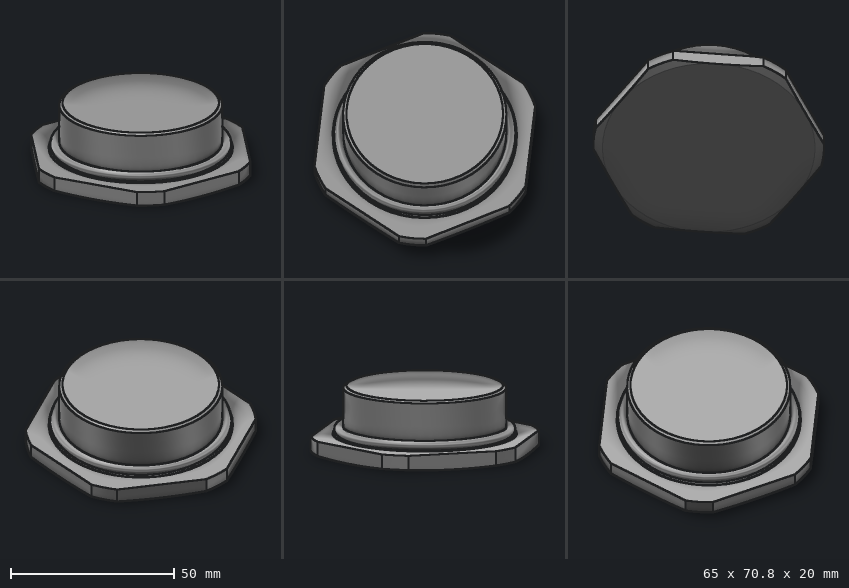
import cadquery as cq
import math

flange_diameter = 70.75
across_flats = 65.0
flange_thickness = 5.0
corner_chamfer_height = 0.5
corner_chamfer_angle = 10.0

total_height = 20.0
boss_diameter = 50.0
boss_top_diameter = 48.0
boss_chamfer_height = 0.65

seat_diameter = 56.45
seat_floor_diameter = 56.0
seat_depth = 0.1

ring_section_diameter = 3.0
ring_outer_diameter = 55.55


def make_flange():
    """Hexagon with two flats facing +X and -X, its corners rounded and chamfered underneath."""
    hexagon = (
        cq.Workplane("XY")
        .transformed(rotate=(0, 0, 30))
        .polygon(6, across_flats / math.cos(math.radians(30)))
        .extrude(flange_thickness)
    )
    outer_radius = flange_diameter / 2
    chamfer_width = corner_chamfer_height / math.tan(math.radians(corner_chamfer_angle))
    turned_blank = (
        cq.Workplane("XZ")
        .moveTo(0, 0)
        .lineTo(outer_radius - chamfer_width, 0)
        .lineTo(outer_radius, corner_chamfer_height)
        .lineTo(outer_radius, flange_thickness)
        .lineTo(0, flange_thickness)
        .close()
        .revolve(360, (0, 0, 0), (0, 1, 0))
    )
    return hexagon.intersect(turned_blank)


def make_seat():
    """Cutter for the shallow recess under the sealing ring."""
    floor_height = flange_thickness - seat_depth
    return (
        cq.Workplane("XZ")
        .moveTo(0, floor_height)
        .lineTo(seat_floor_diameter / 2, floor_height)
        .lineTo(seat_diameter / 2, flange_thickness)
        .lineTo(0, flange_thickness)
        .close()
        .revolve(360, (0, 0, 0), (0, 1, 0))
    )


def make_boss():
    """Cylinder rising from the bottom of the flange, with a conical chamfer around its top."""
    radius = boss_diameter / 2
    return (
        cq.Workplane("XZ")
        .moveTo(0, 0)
        .lineTo(radius, 0)
        .lineTo(radius, total_height - boss_chamfer_height)
        .lineTo(boss_top_diameter / 2, total_height)
        .lineTo(0, total_height)
        .close()
        .revolve(360, (0, 0, 0), (0, 1, 0))
    )


def make_sealing_ring():
    """Round-section ring that rests on the floor of the seat and sits slightly into the boss."""
    section_radius = ring_section_diameter / 2
    center_radius = ring_outer_diameter / 2 - section_radius
    center_height = flange_thickness - seat_depth + section_radius
    return (
        cq.Workplane("XZ")
        .center(center_radius, center_height)
        .circle(section_radius)
        .revolve(360, (-center_radius, 0, 0), (-center_radius, 1, 0))
    )


def make_plug(ring):
    """Flange with its seat and boss in one piece, with a groove around the boss that fits the ring."""
    return make_flange().cut(make_seat()).union(make_boss()).cut(ring)


sealing_ring = make_sealing_ring()
plug = make_plug(sealing_ring)

result = cq.Compound.makeCompound([*plug.solids().vals(), sealing_ring.val()])